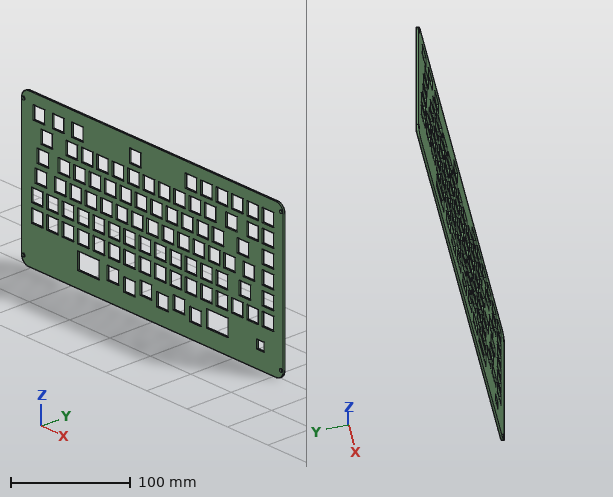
import cadquery as cq

overall_width = 324.0
overall_height = 161.3
plate_thickness = 2.0
label_height = plate_thickness
overall_depth = plate_thickness + label_height
corner_radius = 8.7

mount_hole_diameter = 3.2
mount_left_x = -159.7
mount_right_x = 159.0
mount_bottom_z = -72.2
mount_top_left_z = 71.5
mount_top_right_z = 73.2

key_field_width = 285.7
key_pitch_count = 15
key_pitch = key_field_width / key_pitch_count
key_cutout = 14.0
first_column_x = -key_field_width / 2
top_row_z = 62.5

key_rows = [
    [0.125, 1.375, 2.625, 6.375] + [10 + i for i in range(6)],
    [0.625] + [2.25 + i for i in range(10)] + [12.625, 14, 15],
    [0.375] + [1.75 + i for i in range(11)] + [13.375, 15],
    [0.25] + [1.5 + i for i in range(12)] + [13.75, 15],
    [i for i in range(13)] + [13.5, 15],
    [i for i in range(16)],
]

window_width = 26.5
window_height = 17.8
left_window_x = -79.5
right_window_x = 80.0
window_z = -55.0
zigzag_count = 6
zigzag_pitch = 20.5
zigzag_first_x = -49.0
zigzag_upper_z = -54.0
zigzag_lower_z = -58.0
small_window_size = 9.0
small_window_x = 133.5
small_window_z = -58.0

label_x_spans = [(-152.5, -109.8), (-108.5, -98.5)]
label_z_spans = [(-59.5, -47.3), (-68.0, -60.5)]


def rectangle_cutters(centres, width, height):
    """Prisms through the plate at the given (x, z) centres."""
    return (
        cq.Workplane("XZ", origin=(0, overall_depth, 0))
        .pushPoints(centres)
        .rect(width, height)
        .extrude(2 * overall_depth)
    )


def key_centres():
    return [
        (first_column_x + column * key_pitch, top_row_z - row * key_pitch)
        for row, columns in enumerate(key_rows)
        for column in columns
    ]


def zigzag_centres():
    return [
        (zigzag_first_x + i * zigzag_pitch, zigzag_lower_z if i % 2 else zigzag_upper_z)
        for i in range(zigzag_count)
    ]


def plate():
    body = cq.Workplane("XY").box(overall_width, plate_thickness, overall_height)
    body = body.translate((0, plate_thickness / 2, 0)).edges("|Y").fillet(corner_radius)
    mount_centres = [
        (mount_left_x, mount_bottom_z),
        (mount_right_x, mount_bottom_z),
        (mount_left_x, mount_top_left_z),
        (mount_right_x, mount_top_right_z),
    ]
    return body.faces("<Y").workplane(origin=(0, 0, 0)).pushPoints(mount_centres).hole(mount_hole_diameter)


def label_block(x_span, z_span):
    width = x_span[1] - x_span[0]
    height = z_span[1] - z_span[0]
    return cq.Workplane("XY").box(width, label_height, height, centered=False).translate(
        (x_span[0], plate_thickness, z_span[0])
    )


result = plate()
for x_span in label_x_spans:
    for z_span in label_z_spans:
        result = result.union(label_block(x_span, z_span))

window_centres = [(left_window_x, window_z), (right_window_x, window_z)]
small_window_centres = [(small_window_x, small_window_z)]
result = result.cut(rectangle_cutters(key_centres() + zigzag_centres(), key_cutout, key_cutout))
result = result.cut(rectangle_cutters(window_centres, window_width, window_height))
result = result.cut(rectangle_cutters(small_window_centres, small_window_size, small_window_size))